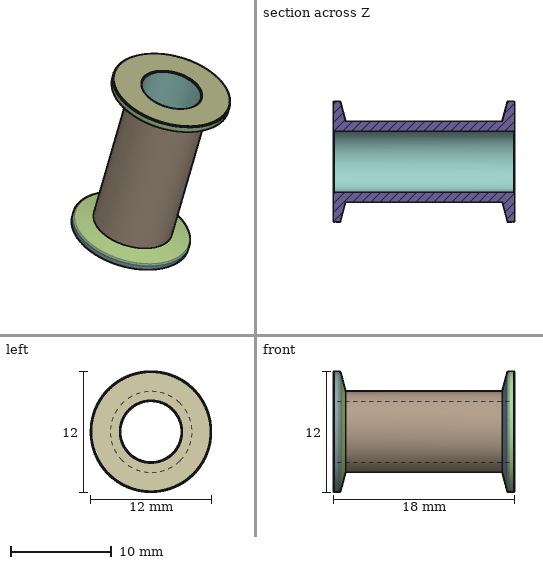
import cadquery as cq
import math

length = 18.0
flange_radius = length / 3
tube_radius = 4.03
bore_radius = 3.0

flange_width = 1.26
cone_angle = 15.0
rim_fillet = 0.2
edge_chamfer = 0.1

half_length = length / 2
cone_foot = half_length - flange_width
cone_run = (flange_radius - tube_radius) * math.tan(math.radians(cone_angle))
rim_end = cone_foot + cone_run


def make_spool():
    """Revolve the half profile, bore included, around the X axis."""
    profile = (
        cq.Workplane("XY")
        .moveTo(-half_length, bore_radius)
        .lineTo(-half_length, flange_radius)
        .lineTo(-rim_end, flange_radius)
        .lineTo(-cone_foot, tube_radius)
        .lineTo(cone_foot, tube_radius)
        .lineTo(rim_end, flange_radius)
        .lineTo(half_length, flange_radius)
        .lineTo(half_length, bore_radius)
        .close()
    )
    return profile.revolve(360, (0, 0, 0), (1, 0, 0))


def round_rim_corner(spool, position):
    """Fillet the circle where rim and cone meet, at the given X position."""
    reach = 2 * flange_radius
    margin = 0.02
    corner = cq.selectors.BoxSelector(
        (position - margin, -reach, -reach),
        (position + margin, reach, reach),
        boundingbox=True,
    )
    return spool.edges(corner).fillet(rim_fillet)


result = make_spool()
for corner_position in (-rim_end, rim_end):
    result = round_rim_corner(result, corner_position)

result = result.faces("<X or >X").edges().chamfer(edge_chamfer)